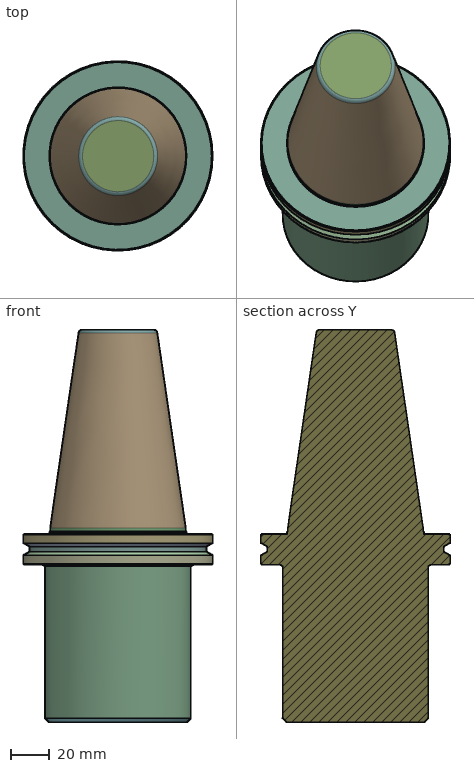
import cadquery as cq
import math

total_height = 201.5

body_radius = 37.5
body_chamfer = 2.0

flange_radius = 48.69
flange_bottom = 80.8
flange_top = 96.8
flange_chamfer = 0.6
groove_center = 89.0
groove_floor_radius = 45.5
groove_floor_width = 2.6
groove_flank_angle = 30.0
step_radius = 39.0
step_height = 0.8

gauge_radius = 34.9
gauge_height = 99.8
collar_bottom = 98.2
collar_base_radius = 35.3
collar_base_top = 97.5
taper_rate = 7 / 24
tip_fillet = 2.0

tip_radius = gauge_radius - (total_height - gauge_height) * taper_rate / 2
groove_depth = flange_radius - groove_floor_radius
groove_floor_half = groove_floor_width / 2
groove_mouth_half = groove_floor_half + groove_depth * math.tan(math.radians(groove_flank_angle))


def revolve_profile(points):
    """Revolve a closed (radius, height) outline about the Z axis."""
    return cq.Workplane("XZ").polyline(points).close().revolve(360, (0, 0), (0, 1))


def make_body():
    body = cq.Workplane("XY").circle(body_radius).extrude(flange_bottom)
    return body.faces("<Z").edges().chamfer(body_chamfer)


def make_flange():
    flange = cq.Workplane("XY").workplane(offset=flange_bottom).circle(flange_radius)
    flange = flange.extrude(flange_top - flange_bottom)
    flange = flange.edges().chamfer(flange_chamfer)
    groove = revolve_profile([
        (groove_floor_radius, groove_center - groove_floor_half),
        (flange_radius, groove_center - groove_mouth_half),
        (flange_radius, groove_center + groove_mouth_half),
        (groove_floor_radius, groove_center + groove_floor_half),
    ])
    return flange.cut(groove)


def make_step():
    """Conical step joining the body to the underside of the flange."""
    return revolve_profile([
        (0, flange_bottom - step_height),
        (body_radius, flange_bottom - step_height),
        (step_radius, flange_bottom),
        (0, flange_bottom),
    ])


def make_taper():
    taper = revolve_profile([
        (0, flange_top),
        (collar_base_radius, flange_top),
        (collar_base_radius, collar_base_top),
        (gauge_radius, collar_bottom),
        (gauge_radius, gauge_height),
        (tip_radius, total_height),
        (0, total_height),
    ])
    return taper.faces(">Z").edges().fillet(tip_fillet)


result = make_body().union(make_step()).union(make_flange()).union(make_taper())